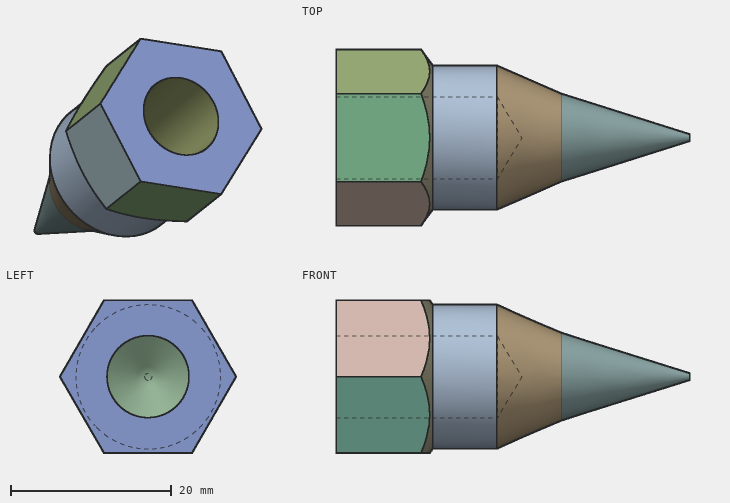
import cadquery as cq
import math

total_length = 44.0
hex_flats = 19.0
hex_corners = hex_flats / math.cos(math.pi / 6)
hex_length = 12.0
chamfer_length = 1.45

body_diameter = 18.0
body_end = 19.98
shoulder_diameter = 11.0
shoulder_end = 28.0
tip_diameter = 0.9

bore_diameter = 10.2
bore_depth = 20.0
bore_point_angle = 118.0


def revolve_about_x(profile):
    """Revolve a closed (X, radius) profile about the X axis."""
    return cq.Workplane("XY").polyline(profile).close().revolve(360, (0, 0, 0), (1, 0, 0))


def make_hex():
    """Hexagonal head with corners on +Y and -Y, and its nose-side corners chamfered."""
    prism = cq.Workplane("YZ").polygon(6, hex_corners).extrude(hex_length)
    envelope = revolve_about_x([
        (0, 0),
        (0, hex_corners / 2),
        (hex_length - chamfer_length, hex_corners / 2),
        (hex_length, body_diameter / 2),
        (hex_length, 0),
    ])
    return prism.intersect(envelope)


def make_nose():
    """Cylindrical body, steep shoulder and slender cone ending in a small flat tip."""
    return revolve_about_x([
        (0, 0),
        (0, body_diameter / 2),
        (body_end, body_diameter / 2),
        (shoulder_end, shoulder_diameter / 2),
        (total_length, tip_diameter / 2),
        (total_length, 0),
    ])


def make_bore():
    """Straight bore from the hex face, closed by a cone."""
    radius = bore_diameter / 2
    point_length = radius / math.tan(math.radians(bore_point_angle / 2))
    return revolve_about_x([
        (0, 0),
        (0, radius),
        (bore_depth, radius),
        (bore_depth + point_length, 0),
    ])


result = make_hex().union(make_nose()).cut(make_bore())